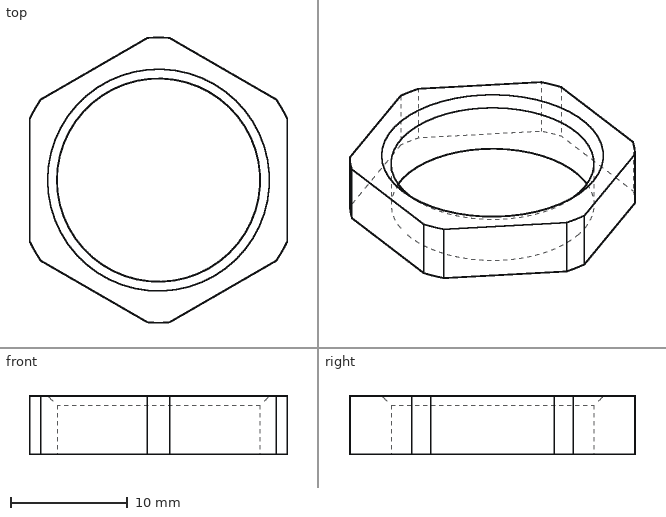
import cadquery as cq
import math

across_flats = 22.0
corner_diameter = 24.4
thickness = 5.0
bore_diameter = 17.35
chamfer_size = 0.8


def hexagonal_body():
    """Hexagonal prism with flats facing +X and -X and rounded corners."""
    across_corners = across_flats / math.cos(math.pi / 6)
    hexagon = (
        cq.Workplane("XY")
        .polygon(6, across_corners)
        .extrude(thickness)
        .rotate((0, 0, 0), (0, 0, 1), 30)
    )
    corner_limit = cq.Workplane("XY").circle(corner_diameter / 2).extrude(thickness)
    return hexagon.intersect(corner_limit)


def cut_bore(body):
    """Cut the through bore and chamfer its upper rim."""
    bored = body.faces(">Z").workplane().hole(bore_diameter)
    rim = bored.faces(">Z").edges(cq.selectors.RadiusNthSelector(0))
    return rim.chamfer(chamfer_size)


result = cut_bore(hexagonal_body())